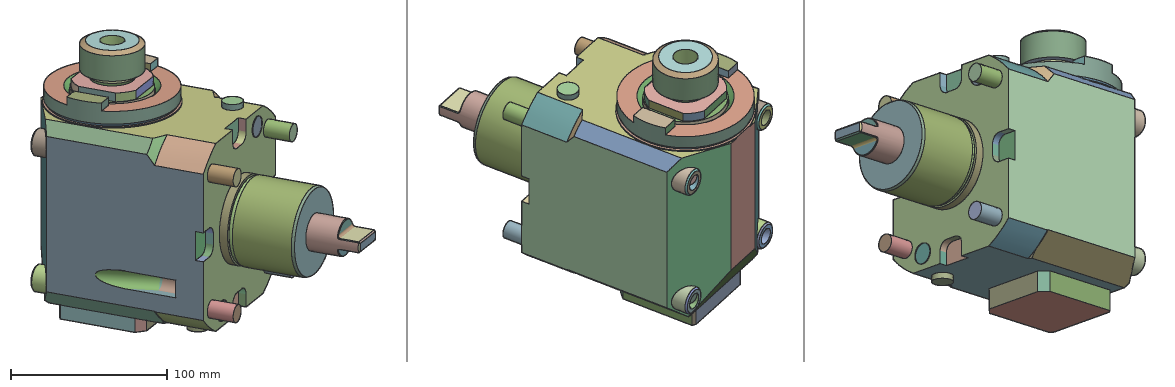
import math

import cadquery as cq


BODY_LEFT = -44.0
BODY_RIGHT = 90.0
BODY_WIDTH = 108.0
BODY_HALF_WIDTH = BODY_WIDTH / 2
BODY_HALF_HEIGHT = 65.0
NOSE_HALF_WIDTH = 14.0
NOSE_ANGLE = 30.0
FOOT_SLOPE_TOP = -35.6
TOP_CHAMFER_WIDTH = 9.2
TOP_CHAMFER_HEIGHT = 7.7
BOTTOM_CHAMFER_WIDTH = 16.3
BOTTOM_CHAMFER_HEIGHT = 14.8
REAR_START = 55.5
REAR_RADIUS = 74.0
TAPER_START = 49.8
TAPER_RADIUS = 78.9
ENVELOPE_RADIUS = 100.0

INDEX_SLOT_WIDTH = 20.0
INDEX_SLOT_DEPTH = 5.5
INDEX_SLOT_LENGTH = 15.0
INDEX_SLOT_CORNER_RADIUS = 6.2
GROOVE_TIP = 14.4
GROOVE_END = 70.3
GROOVE_RADIUS = 6.1
GROOVE_Z = -32.2
GROOVE_DEPTH = 12.2

FLANGE_RADIUS = 44.0
FLANGE_TOP = 76.3
FLANGE_LIP_RADIUS = 44.7
FLANGE_LIP_HEIGHT = 0.7
FLANGE_UNDERCUT_RADIUS = 42.8
FLANGE_UNDERCUT_TOP = 67.5
BORE_MOUTH_RADIUS = 31.1
BORE_RADIUS = 27.7
BORE_TAPER_DEPTH = 3.4
BORE_FLOOR = 70.0
KEY_WIDTH = 24.5
KEY_INNER = 31.3
KEY_TOP = 81.8

NUT_ACROSS_FLATS = 45.8
NUT_CORNER_RADIUS = 26.4
NUT_HEIGHT = 6.1
NUT_BOTTOM = KEY_TOP - NUT_HEIGHT
SPINDLE_NOSE_RADIUS = 27.2
NECK_FOOT_RADIUS = 14.4
NECK_RADIUS = 16.0
NECK_TAPER_TOP = 84.2
KNOB_BOTTOM = 87.7
KNOB_TOP = 107.56
KNOB_RADIUS = 21.0
KNOB_CHAMFER_WIDTH = 3.8
KNOB_CHAMFER_HEIGHT = 2.2
KNOB_HOLE_RADIUS = 8.0
KNOB_HOLE_DEPTH = 15.0

BLOCK_LEFT = -25.0
BLOCK_RIGHT = 35.0
BLOCK_HALF_WIDTH = 28.3
BLOCK_BOTTOM = -79.0
BLOCK_LEFT_CHAMFER_X = 1.6
BLOCK_LEFT_CHAMFER_Y = 2.5
BLOCK_RIGHT_CHAMFER = 5.6

BOSS_RADIUS = 30.0
RING_START = 95.8
RING_END = 99.2
RING_RADIUS = 29.4
BOSS_END = 142.9
BOSS_END_CHAMFER_LENGTH = 2.0
BOSS_END_CHAMFER_HEIGHT = 0.7
SHANK_RADIUS = 12.5
SHANK_END = 165.2
TANG_END = 181.0
TANG_THICKNESS = 7.7
TANG_FILLET = 1.7
TANG_EDGE_CHAMFER = 0.5
TANG_END_CHAMFER = 1.0

SCREW_Y = 42.0
SCREW_Z = 47.0
SCREW_RADIUS = 6.0
SCREW_END = 108.3
HEAD_RADIUS = 9.1
HEAD_FACE = -34.0
HEAD_BOTTOM = -22.0
HEAD_CHAMFER = 1.1
SOCKET_RADIUS = 5.3

PLUG_RADIUS = 7.0
PLUG_Y = 26.0
PLUG_X = 72.8
PLUG_PROTRUSION = 4.0
REAR_PLUG_Z = 54.0
REAR_PLUG_PROTRUSION = 0.6


def box_between(x_min, x_max, y_min, y_max, z_min, z_max):
    size = (x_max - x_min, y_max - y_min, z_max - z_min)
    return cq.Workplane("XY").box(*size, centered=False).translate((x_min, y_min, z_min))


def x_cylinder(radius, x_min, x_max, y=0.0, z=0.0):
    return cq.Workplane("YZ", origin=(x_min, y, z)).circle(radius).extrude(x_max - x_min)


def z_cylinder(radius, z_min, z_max, x=0.0, y=0.0):
    return cq.Workplane("XY", origin=(x, y, z_min)).circle(radius).extrude(z_max - z_min)


def revolve_about_x(points):
    """Revolve an outline of (x, radius) points about the X axis."""
    return cq.Workplane("XY").polyline(points).close().revolve(360, (0, 0, 0), (1, 0, 0))


def revolve_about_z(points):
    """Revolve an outline of (radius, z) points about the Z axis."""
    return cq.Workplane("XZ").polyline(points).close().revolve(360, (0, 0, 0), (0, 1, 0))


def make_plan_prism():
    """Housing seen along Z: a rectangle with its left end drawn in to a narrow nose."""
    nose_length = (BODY_HALF_WIDTH - NOSE_HALF_WIDTH) * math.tan(math.radians(NOSE_ANGLE))
    shoulder_x = BODY_LEFT + nose_length
    outline = [
        (BODY_LEFT, -NOSE_HALF_WIDTH),
        (shoulder_x, -BODY_HALF_WIDTH),
        (BODY_RIGHT, -BODY_HALF_WIDTH),
        (BODY_RIGHT, BODY_HALF_WIDTH),
        (shoulder_x, BODY_HALF_WIDTH),
        (BODY_LEFT, NOSE_HALF_WIDTH),
    ]
    prism = cq.Workplane("XY", origin=(0, 0, -BODY_HALF_HEIGHT)).polyline(outline).close()
    return prism.extrude(2 * BODY_HALF_HEIGHT)


def make_cross_section_prism():
    """Housing seen along X: chamfered in front, plain rectangle in the rear."""
    half = [
        (BODY_HALF_WIDTH - BOTTOM_CHAMFER_WIDTH, -BODY_HALF_HEIGHT),
        (BODY_HALF_WIDTH, -BODY_HALF_HEIGHT + BOTTOM_CHAMFER_HEIGHT),
        (BODY_HALF_WIDTH, BODY_HALF_HEIGHT - TOP_CHAMFER_HEIGHT),
        (BODY_HALF_WIDTH - TOP_CHAMFER_WIDTH, BODY_HALF_HEIGHT),
    ]
    outline = half + [(-y, z) for y, z in reversed(half)]
    front = cq.Workplane("YZ", origin=(BODY_LEFT, 0, 0)).polyline(outline).close()
    front = front.extrude(REAR_START - BODY_LEFT)
    rear = box_between(
        REAR_START, BODY_RIGHT, -BODY_HALF_WIDTH, BODY_HALF_WIDTH, -BODY_HALF_HEIGHT, BODY_HALF_HEIGHT
    )
    return front.union(rear)


def make_round_envelope():
    """Turned limit about X: the rear of the housing is round, with a taper leading into it."""
    return revolve_about_x([
        (BODY_LEFT, 0),
        (BODY_LEFT, ENVELOPE_RADIUS),
        (TAPER_START, ENVELOPE_RADIUS),
        (TAPER_START, TAPER_RADIUS),
        (REAR_START, REAR_RADIUS),
        (BODY_RIGHT, REAR_RADIUS),
        (BODY_RIGHT, 0),
    ])


def make_foot_slope_cut():
    """Wedge that slopes the lower left edge of the housing."""
    height = FOOT_SLOPE_TOP + BODY_HALF_HEIGHT
    length = height * math.tan(math.radians(NOSE_ANGLE))
    wedge = cq.Workplane("XZ", origin=(0, BODY_HALF_WIDTH, 0)).polyline([
        (BODY_LEFT, FOOT_SLOPE_TOP),
        (BODY_LEFT + length, -BODY_HALF_HEIGHT),
        (BODY_LEFT, -BODY_HALF_HEIGHT),
    ])
    return wedge.close().extrude(BODY_WIDTH)


def make_index_slot(angle, half_size):
    """Slot in the rear face, open at a side that lies half_size away from the X axis."""
    slot = box_between(
        BODY_RIGHT - INDEX_SLOT_DEPTH, BODY_RIGHT,
        -INDEX_SLOT_WIDTH / 2, INDEX_SLOT_WIDTH / 2,
        half_size - INDEX_SLOT_LENGTH, half_size,
    )
    slot = slot.faces("<Z").edges("|X").fillet(INDEX_SLOT_CORNER_RADIUS)
    return slot.rotate((0, 0, 0), (1, 0, 0), angle)


def make_finger_groove():
    """Round-bottomed groove in the -Y side: a level run and a ramp rising to the surface."""
    side_y = -BODY_HALF_WIDTH
    axis_depth = GROOVE_DEPTH - GROOVE_RADIUS
    ramp_angle = math.atan2(GROOVE_DEPTH, REAR_START - GROOVE_TIP)
    ramp_length = (REAR_START - GROOVE_TIP) / math.cos(ramp_angle)
    axis_y = side_y + axis_depth
    level = x_cylinder(GROOVE_RADIUS, REAR_START, GROOVE_END, axis_y, GROOVE_Z)
    level = level.union(box_between(
        REAR_START, GROOVE_END, side_y, axis_y, GROOVE_Z - GROOVE_RADIUS, GROOVE_Z + GROOVE_RADIUS
    ))
    direction = (-math.cos(ramp_angle), -math.sin(ramp_angle), 0)
    ramp_plane = cq.Plane(origin=(REAR_START, axis_y, GROOVE_Z), xDir=(0, 0, 1), normal=direction)
    ramp = cq.Workplane(ramp_plane).circle(GROOVE_RADIUS).extrude(ramp_length)
    open_top = (
        cq.Workplane("XY", origin=(0, 0, GROOVE_Z - GROOVE_RADIUS))
        .polyline([
            (REAR_START, side_y),
            (REAR_START, axis_y),
            (REAR_START - axis_depth / math.tan(ramp_angle), side_y),
        ])
        .close()
        .extrude(2 * GROOVE_RADIUS)
    )
    elbow = cq.Workplane("XY", origin=(REAR_START, axis_y, GROOVE_Z)).sphere(GROOVE_RADIUS)
    return level.union(elbow).union(ramp).union(open_top)


def make_housing():
    housing = make_plan_prism().intersect(make_cross_section_prism()).intersect(make_round_envelope())
    housing = housing.cut(make_foot_slope_cut())
    for angle in (0, 90, 180, 270):
        half_size = BODY_HALF_HEIGHT if angle % 180 == 0 else BODY_HALF_WIDTH
        housing = housing.cut(make_index_slot(angle, half_size))
    return housing.cut(make_finger_groove())


def make_flange():
    """Undercut disc with two drive keys on top and a tapered bore around the spindle nose."""
    lip_top = BODY_HALF_HEIGHT + FLANGE_LIP_HEIGHT
    flange = revolve_about_z([
        (0, BODY_HALF_HEIGHT),
        (FLANGE_LIP_RADIUS, BODY_HALF_HEIGHT),
        (FLANGE_LIP_RADIUS, lip_top),
        (FLANGE_UNDERCUT_RADIUS, lip_top),
        (FLANGE_RADIUS, FLANGE_UNDERCUT_TOP),
        (FLANGE_RADIUS, KEY_TOP),
        (0, KEY_TOP),
    ])
    key_slab = box_between(
        -KEY_WIDTH / 2, KEY_WIDTH / 2, -FLANGE_RADIUS, FLANGE_RADIUS, FLANGE_TOP, KEY_TOP
    )
    key_gap = box_between(
        -KEY_WIDTH / 2, KEY_WIDTH / 2, -KEY_INNER, KEY_INNER, FLANGE_TOP, KEY_TOP
    )
    waste = z_cylinder(FLANGE_RADIUS, FLANGE_TOP, KEY_TOP).cut(key_slab).union(key_gap)
    flange = flange.cut(waste)
    bore = revolve_about_z([
        (0, BORE_FLOOR),
        (BORE_RADIUS, BORE_FLOOR),
        (BORE_RADIUS, FLANGE_TOP - BORE_TAPER_DEPTH),
        (BORE_MOUTH_RADIUS, FLANGE_TOP),
        (0, FLANGE_TOP),
    ])
    trim = box_between(
        BODY_LEFT, FLANGE_LIP_RADIUS, -FLANGE_LIP_RADIUS, FLANGE_LIP_RADIUS, BODY_HALF_HEIGHT, KEY_TOP
    )
    return flange.cut(bore).intersect(trim)


def make_spindle():
    """Round nose, nut with rounded corners, and a knob with a blind hole."""
    nut = z_cylinder(NUT_CORNER_RADIUS, NUT_BOTTOM, KEY_TOP)
    half_flats = NUT_ACROSS_FLATS / 2
    nut = nut.intersect(
        box_between(-half_flats, half_flats, -half_flats, half_flats, NUT_BOTTOM, KEY_TOP)
    )
    nose = z_cylinder(SPINDLE_NOSE_RADIUS, BORE_FLOOR, NUT_BOTTOM)
    knob = revolve_about_z([
        (0, KEY_TOP),
        (NECK_FOOT_RADIUS, KEY_TOP),
        (NECK_RADIUS, NECK_TAPER_TOP),
        (NECK_RADIUS, KNOB_BOTTOM),
        (KNOB_RADIUS, KNOB_BOTTOM),
        (KNOB_RADIUS, KNOB_TOP - KNOB_CHAMFER_HEIGHT),
        (KNOB_RADIUS - KNOB_CHAMFER_WIDTH, KNOB_TOP),
        (0, KNOB_TOP),
    ])
    hole = z_cylinder(KNOB_HOLE_RADIUS, KNOB_TOP - KNOB_HOLE_DEPTH, KNOB_TOP)
    return nose.union(nut).union(knob).cut(hole)


def make_block():
    """Flat block under the housing with its four upright corners cut off."""
    half = [
        (BLOCK_LEFT, BLOCK_HALF_WIDTH - BLOCK_LEFT_CHAMFER_Y),
        (BLOCK_LEFT + BLOCK_LEFT_CHAMFER_X, BLOCK_HALF_WIDTH),
        (BLOCK_RIGHT - BLOCK_RIGHT_CHAMFER, BLOCK_HALF_WIDTH),
        (BLOCK_RIGHT, BLOCK_HALF_WIDTH - BLOCK_RIGHT_CHAMFER),
    ]
    outline = half + [(x, -y) for x, y in reversed(half)]
    block = cq.Workplane("XY", origin=(0, 0, BLOCK_BOTTOM)).polyline(outline).close()
    return block.extrude(-BODY_HALF_HEIGHT - BLOCK_BOTTOM)


def make_shaft():
    """Boss with its sealing ring, and a round shank that ends in a flat tang."""
    boss = revolve_about_x([
        (BODY_RIGHT, 0),
        (BODY_RIGHT, BOSS_RADIUS),
        (BOSS_END - BOSS_END_CHAMFER_LENGTH, BOSS_RADIUS),
        (BOSS_END, BOSS_RADIUS - BOSS_END_CHAMFER_HEIGHT),
        (BOSS_END, 0),
    ])
    ring_section_radius = (RING_END - RING_START) / 2
    root_radius = RING_RADIUS - ring_section_radius
    groove_space = (
        cq.Workplane("XY")
        .moveTo(RING_START, BOSS_RADIUS)
        .lineTo(RING_START, root_radius)
        .threePointArc((RING_START + ring_section_radius, RING_RADIUS), (RING_END, root_radius))
        .lineTo(RING_END, BOSS_RADIUS)
        .close()
        .revolve(360, (0, 0, 0), (1, 0, 0))
    )
    boss = boss.cut(groove_space)
    shank = x_cylinder(SHANK_RADIUS, BOSS_END, TANG_END)
    flat = box_between(
        SHANK_END, TANG_END, -SHANK_RADIUS, SHANK_RADIUS, TANG_THICKNESS / 2, SHANK_RADIUS
    )
    flat = flat.faces("<X").edges("<Z").fillet(TANG_FILLET)
    shank = shank.cut(flat).cut(flat.mirror("XY"))
    shank = shank.faces("|Z").edges("|X").chamfer(TANG_EDGE_CHAMFER)
    shank = shank.faces(">X").chamfer(TANG_END_CHAMFER)
    return boss.union(shank)


def make_screw_head(y, z):
    head = x_cylinder(HEAD_RADIUS, HEAD_FACE, HEAD_BOTTOM, y, z).faces("<X").chamfer(HEAD_CHAMFER)
    side = math.copysign(1, y)
    angle = math.radians(NOSE_ANGLE)
    inward = cq.Vector(math.cos(angle), -side * math.sin(angle), 0)
    socket_plane = cq.Plane(origin=(HEAD_FACE, y, z), xDir=(0, 0, 1), normal=inward.toTuple())
    reach = HEAD_BOTTOM - HEAD_FACE
    socket = (
        cq.Workplane(socket_plane)
        .workplane(offset=-reach)
        .ellipse(SOCKET_RADIUS, SOCKET_RADIUS * math.cos(angle))
        .extrude(2 * reach)
    )
    return head.cut(socket)


def make_plugs():
    """A pair of plugs on the top and rear faces, repeated half a turn about X."""
    top = z_cylinder(
        PLUG_RADIUS, BODY_HALF_HEIGHT, BODY_HALF_HEIGHT + PLUG_PROTRUSION, PLUG_X, PLUG_Y
    )
    rear = x_cylinder(
        PLUG_RADIUS, BODY_RIGHT, BODY_RIGHT + REAR_PLUG_PROTRUSION, PLUG_Y, REAR_PLUG_Z
    )
    pair = top.union(rear)
    return pair.union(pair.rotate((0, 0, 0), (1, 0, 0), 180))


result = make_housing()
for y in (-SCREW_Y, SCREW_Y):
    for z in (-SCREW_Z, SCREW_Z):
        result = result.union(make_screw_head(y, z))
        result = result.union(x_cylinder(SCREW_RADIUS, BODY_RIGHT, SCREW_END, y, z))
for feature in (make_flange(), make_spindle(), make_block(), make_shaft(), make_plugs()):
    result = result.union(feature)